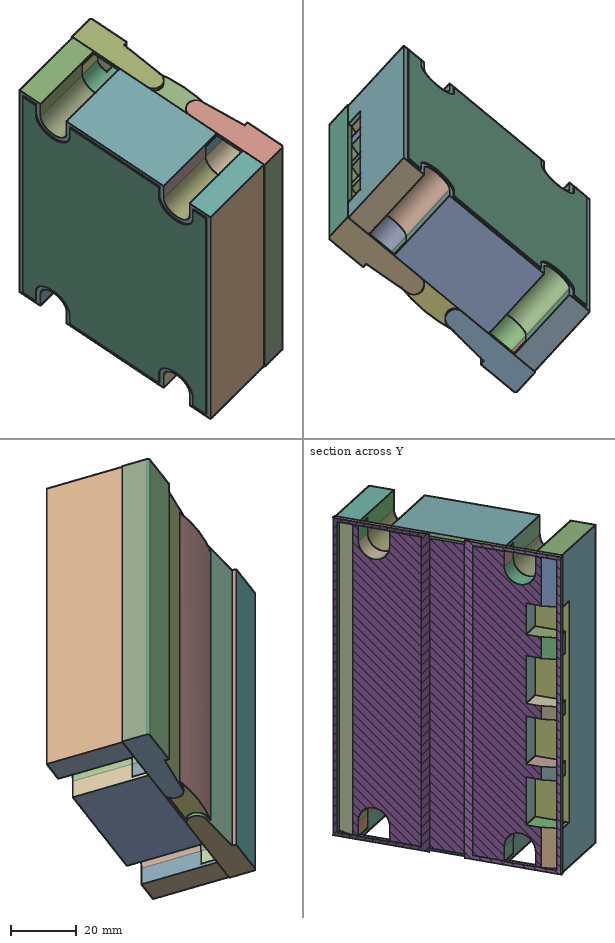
import cadquery as cq
import math


length = 105.0
cover_width = 75.6
cover_depth = 9.0
total_depth = 35.0

housing_inset = 0.3
wall = 1.3
tray_depth = 5.5
pad_height = 0.4
pad_margin = 1.6

housing_width = cover_width - 2 * housing_inset
front_y = pad_height - (total_depth - cover_depth)

notch_width = 10.2
notch_depth = 11.3
notch_spacing = 48.3

inner_width = housing_width - 2 * wall
inner_length = length - 2 * wall
shoulder_x = 26.2
shoulder_angle = math.radians(15)
bulge_crest_y = 7.7
bulge_half_width = 10.9

slope_angle = math.radians(5)
slope_start_x = 23.6
nose_radius = 3.2
nose_center_x = 8.4
edge_fillet = 0.7
skin = 1.2
recess_slope_x = 24.9

window_bottom = -37.9
window_top = 35.2
rib_spans = [(-22.3, -17.8), (-2.2, 2.2), (17.8, 25.0)]


def block(width, height, y_back, y_front):
    """Box centred on X and Z that fills the given range of Y."""
    depth = y_back - y_front
    return cq.Workplane("XY").box(width, depth, height).translate((0, y_back - depth / 2, 0))


def notches(y_back, y_front, margin=0.0):
    """Four round-ended notches, grown by a margin all round."""
    radius = notch_width / 2 + margin
    center_z = length / 2 - notch_depth + notch_width / 2
    end_z = length / 2 + wall
    outline = (
        cq.Workplane("XZ", origin=(0, y_back, 0))
        .moveTo(-radius, end_z)
        .lineTo(-radius, center_z)
        .threePointArc((0, center_z - radius), (radius, center_z))
        .lineTo(radius, end_z)
        .close()
    )
    notch = outline.extrude(y_back - y_front).translate((notch_spacing / 2, 0, 0))
    upper_pair = notch.union(notch.mirror("YZ"))
    return upper_pair.union(upper_pair.mirror("XY"))


def slope_y(x):
    """Height of the sloping back of a cover at distance x from the middle."""
    foot_y = nose_radius + nose_radius / math.cos(slope_angle)
    return foot_y + (x - nose_center_x) * math.tan(slope_angle)


def prism(profile, z_length):
    """Extrude an XY profile along Z, centred on Z = 0."""
    return profile.extrude(z_length / 2, both=True)


def recess_floor_y(x):
    """Floor of the cover hollow, parallel to the sloping back and flat further out."""
    return slope_y(min(x, recess_slope_x)) - skin


def cover_recess():
    """Hollow inside the right-hand cover, open toward the housing."""
    outer_x = inner_width / 2
    profile = cq.Workplane("XY").polyline([
        (nose_center_x, 0),
        (nose_center_x, recess_floor_y(nose_center_x)),
        (recess_slope_x, recess_floor_y(recess_slope_x)),
        (outer_x, recess_floor_y(outer_x)),
        (outer_x, 0),
    ]).close()
    return prism(profile, inner_length)


def make_cover():
    """Right-hand back cover with a stepped, sloping back and a rounded nose."""
    side_x = cover_width / 2
    tangent_x = nose_center_x - nose_radius * math.sin(slope_angle)
    tangent_y = nose_radius + nose_radius * math.cos(slope_angle)
    profile = (
        cq.Workplane("XY")
        .moveTo(nose_center_x, 0)
        .lineTo(side_x, 0)
        .lineTo(side_x, cover_depth)
        .lineTo(slope_start_x, cover_depth)
        .lineTo(slope_start_x, slope_y(slope_start_x))
        .lineTo(tangent_x, tangent_y)
        .threePointArc((nose_center_x - nose_radius, nose_radius), (nose_center_x, 0))
        .close()
    )
    body = prism(profile, length)
    body = body.edges(cq.selectors.NearestToPointSelector((side_x, cover_depth, 0))).fillet(edge_fillet)
    return body.cut(cover_recess())


def side_opening(bottom_z, top_z, depth, y_back=0.0):
    """Box reaching inward from the -X side of the housing by the given depth."""
    opening = cq.Workplane("XY").box(depth, tray_depth + y_back, top_z - bottom_z, centered=False)
    return opening.translate((-housing_width / 2, -tray_depth, bottom_z))


def make_housing():
    """Front housing with a raised pad, a tray for the inner body and a side window."""
    body = block(housing_width, length, 0, front_y)
    pad = block(housing_width - 2 * pad_margin, length - 2 * pad_margin, front_y, front_y - pad_height)
    pad = pad.cut(notches(front_y, front_y - pad_height, pad_margin))
    body = body.cut(notches(0, front_y)).union(pad)
    body = body.cut(block(inner_width, inner_length, 0, -tray_depth))
    return body.cut(side_opening(window_bottom, window_top, wall))


def make_inner_body(covers):
    """Inner body that fills the tray, rises inside the covers and shows between them."""
    tray_fill = block(inner_width, inner_length, 0, -tray_depth)
    shoulder_y = (inner_width / 2 - shoulder_x) * math.tan(shoulder_angle)
    bulge_edge_y = slope_y(bulge_half_width)
    right_side = [
        (bulge_half_width, recess_floor_y(bulge_half_width)),
        (recess_slope_x, recess_floor_y(recess_slope_x)),
        (shoulder_x, recess_floor_y(shoulder_x)),
        (shoulder_x, shoulder_y),
        (inner_width / 2, 0),
    ]
    left_side = [(-x, y) for x, y in reversed(right_side)]
    core = (
        cq.Workplane("XY")
        .polyline(left_side + [(-bulge_half_width, bulge_edge_y)])
        .threePointArc((0, bulge_crest_y), (bulge_half_width, bulge_edge_y))
        .polyline(right_side, includeCurrent=True)
        .close()
    )
    body = tray_fill.union(prism(core, inner_length))
    for cover in covers:
        body = body.cut(cover)
    body = body.cut(notches(cover_depth, -tray_depth))

    pocket_depth = housing_width / 2 - shoulder_x
    pocket_bottoms = [window_bottom] + [rib_top for _, rib_top in rib_spans]
    pocket_tops = [rib_bottom for rib_bottom, _ in rib_spans] + [window_top]
    for bottom_z, top_z in zip(pocket_bottoms, pocket_tops):
        body = body.cut(side_opening(bottom_z, top_z, pocket_depth, shoulder_y))
    return body


right_cover = make_cover()
left_cover = right_cover.mirror("YZ")
housing = make_housing()
inner_body = make_inner_body([right_cover, left_cover])

result = cq.Compound.makeCompound([
    housing.val(),
    inner_body.val(),
    right_cover.val(),
    left_cover.val(),
])